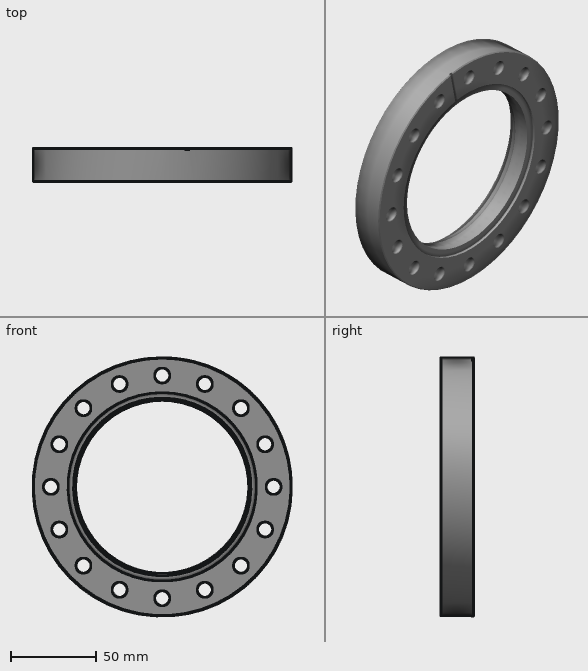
import cadquery as cq

FLANGE_RADIUS = 75.8
THICKNESS = 19.9
FRONT_Y = -THICKNESS / 2
BACK_Y = THICKNESS / 2
RIM_CHAMFER = 0.6

SEAT_RADIUS = 55.0
SEAT_CHAMFER = 0.3

INSERT_FRONT_RECESS = 4.5
INSERT_BACK_RECESS = 1.7
COUNTERBORE_RADIUS = 51.8
COUNTERBORE_DEPTH = 4.0
COUNTERBORE_CHAMFER = 0.3
BORE_RADIUS = 50.5

BOLT_COUNT = 16
BOLT_CIRCLE_RADIUS = 65.2
BOLT_HOLE_RADIUS = 4.2
BOLT_CHAMFER = 0.3

GROOVE_WIDTH = 1.8
GROOVE_DEPTH = 1.2
GROOVE_ANGLE = 360 / BOLT_COUNT / 2


def revolved_ring(profile):
    """Revolve (y, radius) points about the Y axis."""
    return cq.Workplane("YZ").polyline(profile).close().revolve(360, (0, 0, 0), (1, 0, 0))


def bolt_hole_cutter():
    """One through hole on the Y axis, chamfered at both ends."""
    mouth_radius = BOLT_HOLE_RADIUS + BOLT_CHAMFER
    return revolved_ring([
        (FRONT_Y, 0),
        (FRONT_Y, mouth_radius),
        (FRONT_Y + BOLT_CHAMFER, BOLT_HOLE_RADIUS),
        (BACK_Y - BOLT_CHAMFER, BOLT_HOLE_RADIUS),
        (BACK_Y, mouth_radius),
        (BACK_Y, 0),
    ])


def leak_groove_cutter():
    """Radial slot in the back face, running from the seat out through the rim."""
    return (
        cq.Workplane("XY", origin=(0, BACK_Y - GROOVE_DEPTH, 0))
        .box(GROOVE_WIDTH, GROOVE_DEPTH, FLANGE_RADIUS, centered=(True, False, False))
        .rotate((0, 0, 0), (0, 1, 0), GROOVE_ANGLE)
    )


def make_receiver():
    """Outer ring with the bolt circle and a straight seat for the insert."""
    receiver = revolved_ring([
        (FRONT_Y, SEAT_RADIUS + SEAT_CHAMFER),
        (FRONT_Y, FLANGE_RADIUS - RIM_CHAMFER),
        (FRONT_Y + RIM_CHAMFER, FLANGE_RADIUS),
        (BACK_Y - RIM_CHAMFER, FLANGE_RADIUS),
        (BACK_Y, FLANGE_RADIUS - RIM_CHAMFER),
        (BACK_Y, SEAT_RADIUS),
        (FRONT_Y + SEAT_CHAMFER, SEAT_RADIUS),
    ])
    hole = bolt_hole_cutter().translate((0, 0, BOLT_CIRCLE_RADIUS))
    for index in range(BOLT_COUNT):
        receiver = receiver.cut(hole.rotate((0, 0, 0), (0, 1, 0), index * 360 / BOLT_COUNT))
    return receiver.cut(leak_groove_cutter())


def make_insert():
    """Inner ring with a shallow counterbore on its front side."""
    front_y = FRONT_Y + INSERT_FRONT_RECESS
    back_y = BACK_Y - INSERT_BACK_RECESS
    step_y = front_y + COUNTERBORE_DEPTH
    return revolved_ring([
        (front_y, SEAT_RADIUS),
        (back_y, SEAT_RADIUS),
        (back_y, BORE_RADIUS),
        (step_y, BORE_RADIUS),
        (step_y, COUNTERBORE_RADIUS),
        (front_y + COUNTERBORE_CHAMFER, COUNTERBORE_RADIUS),
        (front_y, COUNTERBORE_RADIUS + COUNTERBORE_CHAMFER),
    ])


receiver = make_receiver()
insert = make_insert()
result = cq.Compound.makeCompound([receiver.val(), insert.val()])